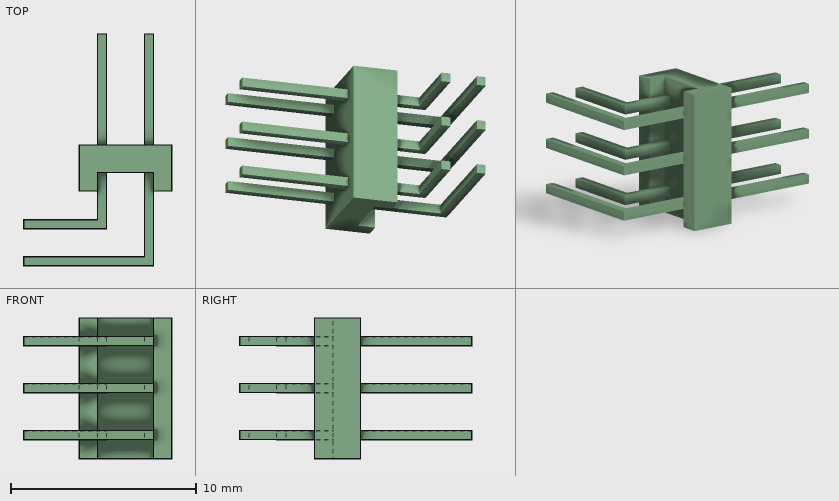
import cadquery as cq

pitch = 2.54
pins_per_row = 3

body_width = 5.0
body_depth = 2.5
body_height = pins_per_row * pitch
recess_depth = 1.0

pin_size = 0.5
tail_length = 6.0
leg_overhang = 3.0
inner_reach = 2.04
row_reach_step = 2.0
outer_row_lift = 0.02

leg_end_x = -body_width / 2 - leg_overhang
tail_end_y = body_depth + tail_length

recess_width = pitch + pin_size
outer_reach = inner_reach + row_reach_step


def make_body():
    """Block with a full-height channel in its front face."""
    block = cq.Workplane("XY").box(
        body_width, body_depth, body_height, centered=(True, False, False)
    )
    channel = cq.Workplane("XY").box(
        recess_width, recess_depth, body_height, centered=(True, False, False)
    )
    return block.cut(channel)


def make_pin(row_x, reach, center_z):
    """L-shaped pin: straight through the housing, then bent towards -X."""
    right = row_x + pin_size / 2
    left = row_x - pin_size / 2
    outline = [
        (right, tail_end_y),
        (left, tail_end_y),
        (left, pin_size - reach),
        (leg_end_x, pin_size - reach),
        (leg_end_x, -reach),
        (right, -reach),
    ]
    bottom = center_z - pin_size / 2
    return cq.Workplane("XY", origin=(0, 0, bottom)).polyline(outline).close().extrude(pin_size)


result = make_body()
for level in range(pins_per_row):
    pin_z = (level + 1 / 2) * pitch
    result = result.union(make_pin(-pitch / 2, inner_reach, pin_z))
    result = result.union(make_pin(pitch / 2, outer_reach, pin_z + outer_row_lift))